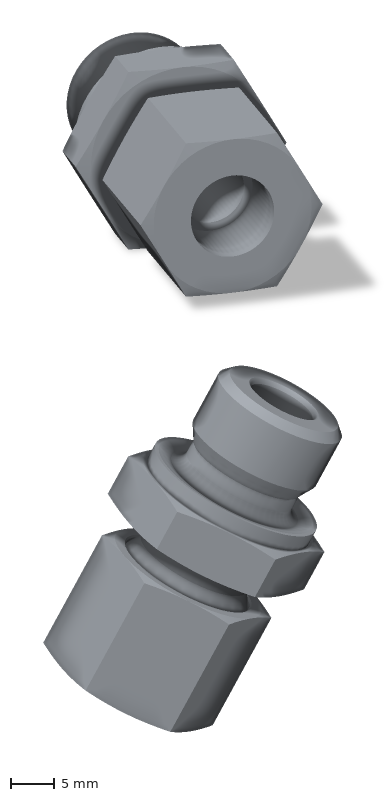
import cadquery as cq
import math

THREAD_RADIUS = 8.0
NECK_RADIUS = 6.87
RUNOUT_SLOPE = math.tan(math.radians(30))
RUNOUT_LENGTH = (THREAD_RADIUS - NECK_RADIUS) / RUNOUT_SLOPE

STUD_CHAMFER = 1.0
STUD_THREAD_END = 7.4
GROOVE_FILLET = 1.35

COLLAR_START = 12.05
COLLAR_RADIUS = 10.5
SEALING_EDGE_RADIUS = 10.0
DISH_DEPTH = 0.35

BODY_HEX_START = 14.0
BODY_HEX_END = 20.03
BODY_HEX_FLATS = 22.0

TAIL_NECK_END = 22.6
BODY_LENGTH = 31.1

BORE_RADIUS = 4.0
BORE_CHAMFER = 0.5

NUT_START = 23.98
NUT_END = 39.5
NUT_HEX_FLATS = 19.0
TUBE_HOLE_RADIUS = 5.0
NUT_MOUTH_CHAMFER = 0.2

HEX_CHAMFER_ANGLE = 15


def revolve_about_x(profile):
    """Revolve a closed (x, radius) profile fully around the X axis."""
    return profile.revolve(360, (0, 0, 0), (1, 0, 0))


def chamfered_hexagon(start, end, across_flats, face_radius):
    """Hexagon bar along X with flats facing +Z and -Z and both ends turned to a cone."""
    corner_radius = across_flats / 2 / math.cos(math.radians(30))
    chamfer_length = (corner_radius - face_radius) * math.tan(math.radians(HEX_CHAMFER_ANGLE))
    bar = (
        cq.Workplane("YZ", origin=(start, 0, 0))
        .polygon(6, 2 * corner_radius)
        .extrude(end - start)
    )
    turned_envelope = revolve_about_x(
        cq.Workplane("XY")
        .moveTo(start, 0)
        .lineTo(start, face_radius)
        .lineTo(start + chamfer_length, corner_radius)
        .lineTo(end - chamfer_length, corner_radius)
        .lineTo(end, face_radius)
        .lineTo(end, 0)
        .close()
    )
    return bar.intersect(turned_envelope)


def make_stud_and_collar():
    """Threaded stud, relief groove and collar in front of the hexagon."""
    fillet_end = COLLAR_START + DISH_DEPTH
    fillet_start = fillet_end - GROOVE_FILLET
    fillet_top = NECK_RADIUS + GROOVE_FILLET
    arc_reach = GROOVE_FILLET * math.sin(math.radians(45))
    return revolve_about_x(
        cq.Workplane("XY")
        .moveTo(0, 0)
        .lineTo(0, THREAD_RADIUS - STUD_CHAMFER)
        .lineTo(STUD_CHAMFER, THREAD_RADIUS)
        .lineTo(STUD_THREAD_END, THREAD_RADIUS)
        .lineTo(STUD_THREAD_END + RUNOUT_LENGTH, NECK_RADIUS)
        .lineTo(fillet_start, NECK_RADIUS)
        .threePointArc((fillet_start + arc_reach, fillet_top - arc_reach), (fillet_end, fillet_top))
        .lineTo(COLLAR_START, SEALING_EDGE_RADIUS)
        .lineTo(COLLAR_START, COLLAR_RADIUS)
        .lineTo(BODY_HEX_START, COLLAR_RADIUS)
        .lineTo(BODY_HEX_START, 0)
        .close()
    )


def make_tail(start):
    """Neck and thread behind the hexagon, from the given X to the end of the body."""
    return revolve_about_x(
        cq.Workplane("XY")
        .moveTo(start, 0)
        .lineTo(start, NECK_RADIUS)
        .lineTo(TAIL_NECK_END, NECK_RADIUS)
        .lineTo(TAIL_NECK_END + RUNOUT_LENGTH, THREAD_RADIUS)
        .lineTo(BODY_LENGTH, THREAD_RADIUS)
        .lineTo(BODY_LENGTH, 0)
        .close()
    )


def make_bore():
    """Through bore with a chamfered mouth at the stud end."""
    return revolve_about_x(
        cq.Workplane("XY")
        .moveTo(0, 0)
        .lineTo(0, BORE_RADIUS + BORE_CHAMFER)
        .lineTo(BORE_CHAMFER, BORE_RADIUS)
        .lineTo(BODY_LENGTH, BORE_RADIUS)
        .lineTo(BODY_LENGTH, 0)
        .close()
    )


def make_fitting_body():
    hexagon = chamfered_hexagon(BODY_HEX_START, BODY_HEX_END, BODY_HEX_FLATS, BODY_HEX_FLATS / 2)
    return make_stud_and_collar().union(hexagon).union(make_tail(BODY_HEX_END)).cut(make_bore())


def make_nut_bore():
    """Threaded socket with a chamfered mouth, then a smaller hole for the tube."""
    return revolve_about_x(
        cq.Workplane("XY")
        .moveTo(NUT_START, 0)
        .lineTo(NUT_START, THREAD_RADIUS + NUT_MOUTH_CHAMFER)
        .lineTo(NUT_START + NUT_MOUTH_CHAMFER, THREAD_RADIUS)
        .lineTo(BODY_LENGTH, THREAD_RADIUS)
        .lineTo(BODY_LENGTH, TUBE_HOLE_RADIUS)
        .lineTo(NUT_END, TUBE_HOLE_RADIUS)
        .lineTo(NUT_END, 0)
        .close()
    )


def make_union_nut():
    """Hexagon nut that takes the thread of the body's tail and clears the tube."""
    hexagon = chamfered_hexagon(NUT_START, NUT_END, NUT_HEX_FLATS, NUT_HEX_FLATS / 2)
    return hexagon.cut(make_nut_bore())


fitting_body = make_fitting_body()
union_nut = make_union_nut()

result = cq.Compound.makeCompound([fitting_body.val(), union_nut.val()])